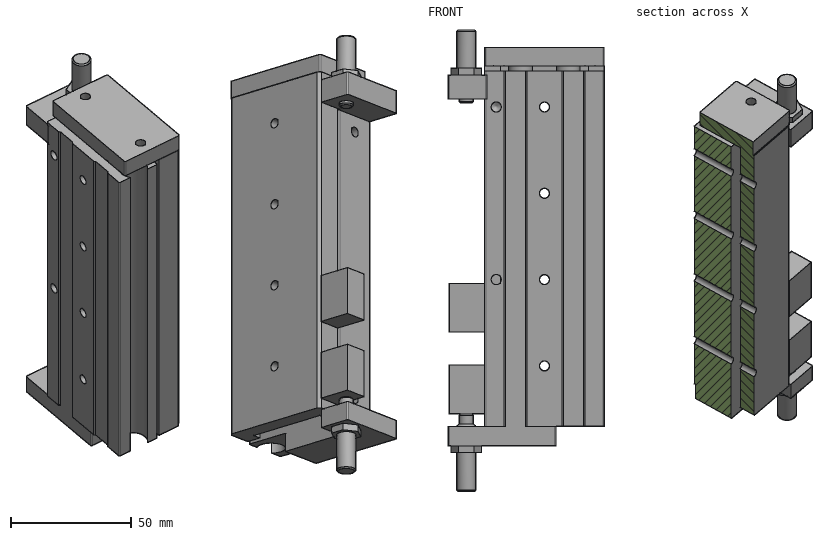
import cadquery as cq
import math

TOTAL_WIDTH = 65.0
TOTAL_DEPTH = 32.0
TOTAL_HEIGHT = 192.0
LEFT = -TOTAL_WIDTH / 2
RIGHT = TOTAL_WIDTH / 2
FRONT = -TOTAL_DEPTH / 2
BACK = TOTAL_DEPTH / 2

EDGE_RADIUS = 0.5

HOUSING_WIDTH = 50.0
HOUSING_LEFT = RIGHT - HOUSING_WIDTH
MID_X = RIGHT - HOUSING_WIDTH / 2
HOUSING_BACK = 3.8
HOUSING_TOP = 79.0
HOUSING_BOTTOM = -69.0

GROOVE_DEPTH = 0.5
GROOVE_FLOOR = FRONT + GROOVE_DEPTH
GROOVE_INNER = 7.3
GROOVE_OUTER = 16.9

SLOT_DIAMETER = 12.0
SLOT_X = 28.6
SLOT_Y = -5.8

MOUNT_DIAMETER = 4.0
MOUNT_COUNT = 4
MOUNT_PITCH = 36.0
MOUNT_TOP_Z = 64.0

STRIP_DIAMETER = 4.2
STRIP_X = -12.5
BLIND_DEPTH = 5.8
DRILL_POINT_ANGLE = 118

PORT_DIAMETER = 4.2
PORT_DEPTH = 4.8
ORIFICE_DIAMETER = 1.5
ORIFICE_DEPTH = 7.7
PORT_Y = -6.1
PORT_HEIGHTS = (60.0, -58.0)

BRACKET_FRONT = GROOVE_FLOOR
BRACKET_BACK = 15.5
UPPER_BRACKET_TOP = 77.2
UPPER_BRACKET_HEIGHT = 10.0
UPPER_BRACKET_BOTTOM = UPPER_BRACKET_TOP - UPPER_BRACKET_HEIGHT
LOWER_BRACKET_HEIGHT = 8.0
LOWER_BRACKET_BOTTOM = HOUSING_BOTTOM - LOWER_BRACKET_HEIGHT
LOWER_BRACKET_WIDTH = 45.0
BRACKET_CLEARANCE = 0.5
SEAT_DEPTH = 1.0
SEAT_FLOOR = HOUSING_LEFT + SEAT_DEPTH

SCREW_X = -25.0
SCREW_Y = 7.9
SCREW_DIAMETER = 8.0
SCREW_CHAMFER = 0.5
TIP_DIAMETER = 6.0
NUT_ACROSS_FLATS = 11.1
NUT_HEIGHT = 2.9
UPPER_TIP_END = 65.7
TIP_SHOULDER = (SCREW_DIAMETER - TIP_DIAMETER) / 2

TABLE_FRONT = 4.6
TABLE_TOP = 81.0
TABLE_BOTTOM = -68.0
TABLE_CHAMFER = 1.3
CHANNEL_WIDTH = 36.5
CHANNEL_DEPTH = 3.8

PLATE_HEIGHT = 7.7
PLATE_INSET = 0.1
PLATE_FRONT = -13.0
PLATE_BACK = 15.5
PLATE_HOLE_DIAMETER = 4.2
PLATE_HOLE_SPACING = 38.0
PLATE_HOLE_Y = -0.4
ROD_DIAMETER = 10.0
ROD_SPACING = 19.8
ROD_Y = PORT_Y

BLOCK_LEFT = -32.0
BLOCK_FRONT = TABLE_FRONT
BLOCK_BACK = 15.2
BLOCK_HEIGHT = 20.4
BLOCK_BOTTOMS = (-29.8, -63.7)


def box_between(x0, x1, y0, y1, z0, z1):
    """Box given by its two limits along each axis."""
    return cq.Workplane("XY").box(x1 - x0, y1 - y0, z1 - z0, centered=False).translate((x0, y0, z0))


def vertical_cylinder(diameter, x, y, z0, z1):
    return cq.Workplane("XY").circle(diameter / 2).extrude(z1 - z0).translate((x, y, z0))


def cylinder_along_y(diameter, x, z, y0, y1):
    return cq.Workplane("XZ").circle(diameter / 2).extrude(y0 - y1).translate((x, y0, z))


def cylinder_along_x(diameter, y, z, x0, x1):
    return cq.Workplane("YZ").circle(diameter / 2).extrude(x1 - x0).translate((x0, y, z))


def cut_mounting_holes(body):
    for i in range(MOUNT_COUNT):
        z = MOUNT_TOP_Z - i * MOUNT_PITCH
        body = body.cut(cylinder_along_y(MOUNT_DIAMETER, MID_X, z, FRONT, BACK))
    return body


def front_groove(side):
    """Groove with 45 degree walls; side is -1 for the left one and 1 for the right one."""
    points = [
        (GROOVE_INNER, FRONT),
        (GROOVE_INNER + GROOVE_DEPTH, GROOVE_FLOOR),
        (GROOVE_OUTER - GROOVE_DEPTH, GROOVE_FLOOR),
        (GROOVE_OUTER, FRONT),
    ]
    outline = [(MID_X + side * x, y) for x, y in points]
    height = HOUSING_TOP - HOUSING_BOTTOM
    return cq.Workplane("XY").polyline(outline).close().extrude(height).translate((0, 0, HOUSING_BOTTOM))


def blind_strip_hole():
    """Blind hole with a drill point, at the height of the top mounting hole."""
    radius = STRIP_DIAMETER / 2
    point_depth = radius / math.tan(math.radians(DRILL_POINT_ANGLE / 2))
    bottom = FRONT + BLIND_DEPTH
    hole = cylinder_along_y(STRIP_DIAMETER, STRIP_X, MOUNT_TOP_Z, FRONT, bottom)
    point = cq.Solid.makeCone(
        radius, 0, point_depth, pnt=cq.Vector(STRIP_X, bottom, MOUNT_TOP_Z), dir=cq.Vector(0, 1, 0)
    )
    return hole.union(cq.Workplane(point))


def through_strip_hole():
    """Through hole at the height of the third mounting hole."""
    z = MOUNT_TOP_Z - 2 * MOUNT_PITCH
    return cylinder_along_y(STRIP_DIAMETER, STRIP_X, z, FRONT, HOUSING_BACK)


def air_port(z):
    port = cylinder_along_x(PORT_DIAMETER, PORT_Y, z, HOUSING_LEFT, HOUSING_LEFT + PORT_DEPTH)
    orifice = cylinder_along_x(ORIFICE_DIAMETER, PORT_Y, z, HOUSING_LEFT, HOUSING_LEFT + ORIFICE_DEPTH)
    return port.union(orifice)


def bracket_seat():
    """Recess in the housing side that takes the upper bracket."""
    return box_between(
        HOUSING_LEFT, SEAT_FLOOR, FRONT, HOUSING_BACK, UPPER_BRACKET_BOTTOM, UPPER_BRACKET_TOP
    )


def stopper_bracket(right, bottom, top):
    """Bracket flush with the groove floors; it clears the space behind the housing for the table."""
    bracket = box_between(LEFT, right, BRACKET_FRONT, BRACKET_BACK, bottom, top)
    bracket = bracket.edges("|Z").fillet(EDGE_RADIUS)
    table_space = box_between(
        HOUSING_LEFT - BRACKET_CLEARANCE, right, HOUSING_BACK, BRACKET_BACK, bottom, top
    )
    return bracket.cut(table_space)


def lock_nut(bottom):
    across_corners = NUT_ACROSS_FLATS / math.cos(math.pi / 6)
    nut = cq.Workplane("XY").polygon(6, across_corners).extrude(NUT_HEIGHT)
    return nut.translate((SCREW_X, SCREW_Y, bottom))


def upper_screw():
    thread = vertical_cylinder(SCREW_DIAMETER, SCREW_X, SCREW_Y, UPPER_BRACKET_BOTTOM, TOTAL_HEIGHT / 2)
    thread = thread.faces(">Z").chamfer(SCREW_CHAMFER)
    tip = vertical_cylinder(TIP_DIAMETER, SCREW_X, SCREW_Y, UPPER_TIP_END, UPPER_BRACKET_BOTTOM)
    return thread.union(tip.faces("<Z").chamfer(SCREW_CHAMFER))


def lower_screw():
    """Screw whose tip touches the lower stopper block."""
    thread = vertical_cylinder(SCREW_DIAMETER, SCREW_X, SCREW_Y, -TOTAL_HEIGHT / 2, HOUSING_BOTTOM)
    thread = thread.faces("<Z").chamfer(SCREW_CHAMFER)
    shoulder_base = cq.Vector(SCREW_X, SCREW_Y, HOUSING_BOTTOM)
    shoulder = cq.Workplane(
        cq.Solid.makeCone(SCREW_DIAMETER / 2, TIP_DIAMETER / 2, TIP_SHOULDER, pnt=shoulder_base)
    )
    tip = vertical_cylinder(TIP_DIAMETER, SCREW_X, SCREW_Y, HOUSING_BOTTOM, min(BLOCK_BOTTOMS))
    return thread.union(shoulder).union(tip.faces(">Z").chamfer(SCREW_CHAMFER))


def build_housing():
    housing = box_between(HOUSING_LEFT, RIGHT, FRONT, HOUSING_BACK, HOUSING_BOTTOM, HOUSING_TOP)
    housing = housing.edges("|Z").fillet(EDGE_RADIUS)
    for side in (-1, 1):
        housing = housing.cut(front_groove(side))
    housing = housing.cut(vertical_cylinder(SLOT_DIAMETER, SLOT_X, SLOT_Y, HOUSING_BOTTOM, HOUSING_TOP))
    housing = cut_mounting_holes(housing)
    housing = housing.cut(blind_strip_hole()).cut(through_strip_hole())
    for z in PORT_HEIGHTS:
        housing = housing.cut(air_port(z))
    housing = housing.cut(bracket_seat())
    housing = housing.union(stopper_bracket(SEAT_FLOOR, UPPER_BRACKET_BOTTOM, UPPER_BRACKET_TOP))
    housing = housing.union(stopper_bracket(LEFT + LOWER_BRACKET_WIDTH, LOWER_BRACKET_BOTTOM, HOUSING_BOTTOM))
    housing = housing.union(lock_nut(UPPER_BRACKET_TOP)).union(upper_screw())
    return housing.union(lock_nut(LOWER_BRACKET_BOTTOM - NUT_HEIGHT)).union(lower_screw())


def table_slab():
    """Slab with chamfered back edges and a guide channel facing the housing."""
    slab = box_between(HOUSING_LEFT, RIGHT, TABLE_FRONT, BACK, TABLE_BOTTOM, TABLE_TOP)
    slab = slab.faces(">Y").edges("|Z").chamfer(TABLE_CHAMFER)
    half_channel = CHANNEL_WIDTH / 2
    channel = box_between(
        MID_X - half_channel, MID_X + half_channel,
        TABLE_FRONT, TABLE_FRONT + CHANNEL_DEPTH, TABLE_BOTTOM, TABLE_TOP,
    )
    return cut_mounting_holes(slab.cut(channel))


def end_plate():
    plate_top = TABLE_TOP + PLATE_HEIGHT
    plate = box_between(
        HOUSING_LEFT + PLATE_INSET, RIGHT - PLATE_INSET, PLATE_FRONT, PLATE_BACK, TABLE_TOP, plate_top
    )
    plate = plate.edges("|Z").fillet(EDGE_RADIUS)
    for side in (-1, 1):
        x = MID_X + side * PLATE_HOLE_SPACING / 2
        plate = plate.cut(vertical_cylinder(PLATE_HOLE_DIAMETER, x, PLATE_HOLE_Y, TABLE_TOP, plate_top))
    return plate


def stopper_block(bottom):
    return box_between(BLOCK_LEFT, HOUSING_LEFT, BLOCK_FRONT, BLOCK_BACK, bottom, bottom + BLOCK_HEIGHT)


def build_table():
    table = table_slab().union(end_plate())
    for side in (-1, 1):
        x = MID_X + side * ROD_SPACING / 2
        table = table.union(vertical_cylinder(ROD_DIAMETER, x, ROD_Y, HOUSING_TOP, TABLE_TOP))
    for bottom in BLOCK_BOTTOMS:
        table = table.union(stopper_block(bottom))
    return table


housing = build_housing()
table = build_table()

result = cq.Compound.makeCompound([housing.solids().val(), table.solids().val()])